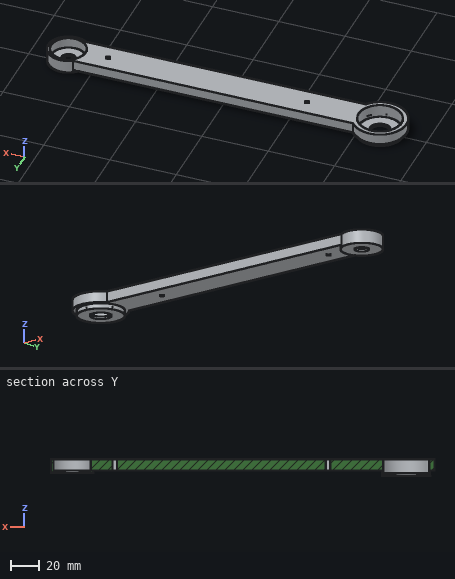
import cadquery as cq

overall_length = 270.0
large_end_diameter = 40.0
small_end_diameter = 30.0
end_spacing = overall_length - (large_end_diameter + small_end_diameter) / 2

arm_width = 25.0
arm_thickness = 8.0

large_step_diameter = 34.0
large_step_height = 3.8
large_pocket_diameter = 32.0
large_pocket_depth = 10.0
large_bore_diameter = 15.0

small_end_drop = 2.0
small_pocket_diameter = 26.0
small_pocket_depth = 8.0
small_bore_diameter = 10.0

pin_hole_diameter = 3.0
pin_hole_from_large_end = 55.0
pin_hole_from_small_end = 30.0

large_end_x = 0.0
small_end_x = large_end_x + end_spacing
pin_hole_positions = (
    large_end_x + pin_hole_from_large_end,
    small_end_x - pin_hole_from_small_end,
)


def disc(x, diameter, bottom, top):
    """Upright cylinder centred on the arm's long axis."""
    return (
        cq.Workplane("XY", origin=(x, 0, bottom))
        .circle(diameter / 2)
        .extrude(top - bottom)
    )


arm = (
    cq.Workplane("XY", origin=((large_end_x + small_end_x) / 2, 0, 0))
    .rect(end_spacing, arm_width)
    .extrude(arm_thickness)
)

large_end = disc(large_end_x, large_end_diameter, 0, arm_thickness)
large_step = disc(large_end_x, large_step_diameter, -large_step_height, arm_thickness)
small_end = disc(small_end_x, small_end_diameter, -small_end_drop, arm_thickness)
result = arm.union(large_end).union(large_step).union(small_end)

for x, diameter, depth in (
    (large_end_x, large_pocket_diameter, large_pocket_depth),
    (small_end_x, small_pocket_diameter, small_pocket_depth),
):
    result = result.cut(disc(x, diameter, arm_thickness - depth, arm_thickness))

for x, diameter in (
    (large_end_x, large_bore_diameter),
    (small_end_x, small_bore_diameter),
):
    result = result.cut(disc(x, diameter, -large_step_height, arm_thickness))

for x in pin_hole_positions:
    result = result.cut(disc(x, pin_hole_diameter, 0, arm_thickness))